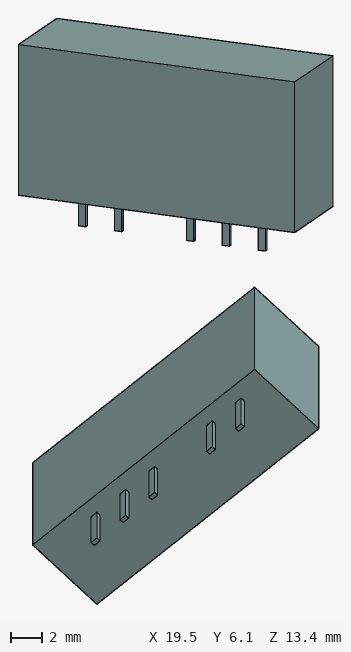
import cadquery as cq

housing_length = 19.5
housing_depth = 6.1
housing_height = 10.2

pin_width = 0.5
pin_thickness = 0.3
pin_length = 3.2
pin_pitch = 2.54
first_pin_inset = 2.35
pin_row_inset = 1.15
pin_positions = [0, 1, 3, 4, 5]

first_pin_x = -housing_length / 2 + first_pin_inset
pin_row_y = housing_depth / 2 - pin_row_inset


def make_housing():
    return cq.Workplane("XY").box(
        housing_length, housing_depth, housing_height, centered=(True, True, False)
    )


def make_pin(position):
    """One pin hanging from the housing's underside at a numbered pitch position."""
    pin_x = first_pin_x + position * pin_pitch
    return (
        cq.Workplane("XY")
        .center(pin_x, pin_row_y)
        .rect(pin_width, pin_thickness)
        .extrude(-pin_length)
    )


housing = make_housing()
pins = [make_pin(position) for position in pin_positions]

result = cq.Compound.makeCompound([housing.val(), *[pin.val() for pin in pins]])